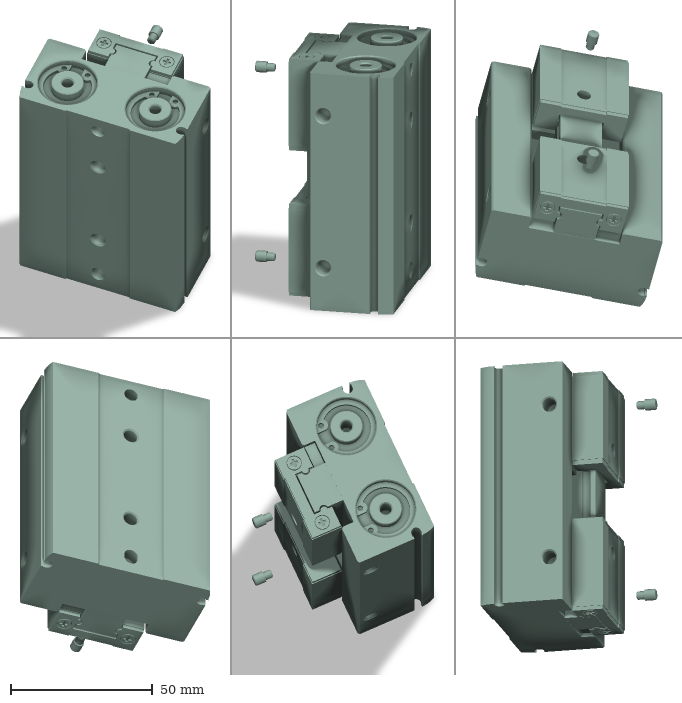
import cadquery as cq
import math

LENGTH = 87.6

HOUSING_HALF_WIDTH = 31.0
HOUSING_DEPTH = 30.05
CORNER_CHAMFER = 0.6
FRONT_CORNER_X = 29.6
FRONT_BEVEL_X = 30.05
FRONT_BEVEL = 1.0
SKIRT_HALF_WIDTH = 30.8
SKIRT_TOP = 4.9
SKIRT_MID = (30.6, 2.6)
FRONT_RECESS_HALF_WIDTH = 12.35
FRONT_RECESS_DEPTH = 0.4

GROOVE_DIAMETER = 3.5
GROOVE_CENTRE_X = 29.1
GROOVE_CENTRE_Y = 6.75
GROOVE_MOUTH = 3.0
GROOVE_LIP = 0.9

SLOT_HALF_WIDTH = 16.5
SLOT_FLOOR = 25.2

BORE_X = 16.7
BORE_Y = 13.0
BORE_DIAMETER = 21.0
BORE_CHAMFER = 0.35
BORE_FLOOR_DEPTH = 3.5
ROD_DIAMETER = 11.5
ROD_CHAMFER = 0.3
ROD_THREAD_DIAMETER = 4.1
ROD_THREAD_MOUTH = 5.0
ROD_THREAD_DEPTH = 8.8

RING_INNER_DIAMETER = 17.35
RING_TOP_DEPTH = 2.3
RING_LUG_X = 4.5
RING_LUG_Y = 7.45
RING_LUG_RADIUS = 2.2
RING_EYE_Y = 7.8
RING_EYE_DIAMETER = 2.0
RING_GAP_HALF_WIDTH = 2.45

SCREW_DIAMETER = 5.0
SCREW_MOUTH = 6.05
FRONT_SCREW_Z = (24.8, 62.8)
SIDE_SCREW_Z = (15.8, 72.0)
SIDE_SCREW_Y = 25.1
SIDE_SCREW_DEPTH = 8.8
DOWEL_DIAMETER = 5.0
DOWEL_Z = 81.4
DOWEL_SLOT_Z = 7.2
DOWEL_SLOT_LENGTH = 6.05
DOWEL_DEPTH = 5.25

RAIL_END_SETBACK = 0.1
RAIL_HALF_WIDTH = 7.5
RAIL_TOP = 36.3
TRACK_Y = 32.85
TRACK_CENTRE_X = 7.8
TRACK_RADIUS = 1.6

BLOCK_HALF_WIDTH = 16.1
BLOCK_TOP = 41.2
BLOCK_BOTTOM = 29.7
BLOCK_RECESS_HALF_WIDTH = 8.2
BLOCK_RECESS_DEPTH = 0.35
PLATE_INSET = 0.3
CAVITY_HALF_WIDTH = 7.9
CAVITY_TOP = 36.6
BEAD_CENTRE_X = 8.1
BEAD_RADIUS = 1.5
CARRIAGE_LENGTH = 33.9
OUTER_PLATE = 1.3
INNER_PLATE = 1.7
HEAD_X = 12.0
HEAD_Y = 35.4
HEAD_DIAMETER = 4.9
HEAD_POCKET_DIAMETER = 5.4
HEAD_POCKET_DEPTH = 0.9
CROSS_LENGTH = 3.0
CROSS_WIDTH = 1.0
CROSS_DEPTH = 0.7

BAR_CLEARANCE = 0.31
BAR_LENGTH = CARRIAGE_LENGTH
BAR_END_GAP = OUTER_PLATE

PIN_Z = (8.8, 78.8)
PIN_TOP = 56.5
PIN_HEAD_BOTTOM = 52.6
PIN_BOTTOM = 49.6
PIN_HEAD_DIAMETER = 4.0
PIN_SHANK_DIAMETER = 3.0
PIN_CHAMFER = 0.35

DRILL_POINT_ANGLE = 118.0


def box(x0, x1, y0, y1, z0, z1):
    return cq.Workplane("XY").box(x1 - x0, y1 - y0, z1 - z0, centered=False).translate((x0, y0, z0))


def cylinder(diameter, start, direction, length):
    return cq.Workplane(cq.Solid.makeCylinder(diameter / 2, length, cq.Vector(*start), cq.Vector(*direction)))


def drilled_hole(diameter, mouth, depth, start, direction):
    """Blind hole with a chamfered mouth and a drill point."""
    radius = diameter / 2
    mouth_radius = mouth / 2
    lead = mouth_radius - radius
    point = radius / math.tan(math.radians(DRILL_POINT_ANGLE / 2))
    profile = (
        cq.Workplane("XZ")
        .polyline([(0, 0), (mouth_radius, 0), (radius, lead), (radius, depth), (0, depth + point)])
        .close()
        .revolve(360, (0, 0, 0), (0, 1, 0))
    )
    plane = cq.Plane(origin=start, normal=direction)
    return cq.Workplane(profile.val().moved(cq.Location(plane)))


def both_sides(shape):
    return shape.union(shape.mirror("YZ"))


def turned_about_y(shape):
    """Half turn about the Y direction through mid-length."""
    return shape.rotate((0, 0, LENGTH / 2), (0, 1, LENGTH / 2), 180)


def through_hole(z):
    """Screw clearance running through housing, rail and carriage alike."""
    return cylinder(SCREW_DIAMETER, (0, 0, z), (0, 1, 0), BLOCK_TOP)


def make_rail():
    z0 = RAIL_END_SETBACK
    z1 = LENGTH - RAIL_END_SETBACK
    rail = box(-RAIL_HALF_WIDTH, RAIL_HALF_WIDTH, SLOT_FLOOR, RAIL_TOP, z0, z1)
    rail = rail.cut(both_sides(cylinder(2 * TRACK_RADIUS, (TRACK_CENTRE_X, TRACK_Y, 0), (0, 0, 1), LENGTH)))
    for z in FRONT_SCREW_Z:
        rail = rail.cut(through_hole(z))
    return rail


def housing_blank():
    half = (
        cq.Workplane("XY")
        .moveTo(0, FRONT_RECESS_DEPTH)
        .lineTo(FRONT_RECESS_HALF_WIDTH - FRONT_RECESS_DEPTH, FRONT_RECESS_DEPTH)
        .lineTo(FRONT_RECESS_HALF_WIDTH, 0)
        .lineTo(FRONT_CORNER_X, 0)
        .lineTo(FRONT_BEVEL_X, FRONT_BEVEL)
        .threePointArc(SKIRT_MID, (SKIRT_HALF_WIDTH, SKIRT_TOP))
        .lineTo(HOUSING_HALF_WIDTH, SKIRT_TOP + HOUSING_HALF_WIDTH - SKIRT_HALF_WIDTH)
        .lineTo(HOUSING_HALF_WIDTH, HOUSING_DEPTH - CORNER_CHAMFER)
        .lineTo(HOUSING_HALF_WIDTH - CORNER_CHAMFER, HOUSING_DEPTH)
        .lineTo(SLOT_HALF_WIDTH + CORNER_CHAMFER, HOUSING_DEPTH)
        .lineTo(SLOT_HALF_WIDTH, HOUSING_DEPTH - CORNER_CHAMFER)
        .lineTo(SLOT_HALF_WIDTH, SLOT_FLOOR)
        .lineTo(0, SLOT_FLOOR)
        .close()
        .extrude(LENGTH)
    )
    return both_sides(half)


def sensor_groove():
    inner = HOUSING_HALF_WIDTH - GROOVE_LIP
    r = GROOVE_DIAMETER / 2
    half_mouth = GROOVE_MOUTH / 2
    y = GROOVE_CENTRE_Y
    groove = cylinder(GROOVE_DIAMETER, (GROOVE_CENTRE_X, y, 0), (0, 0, 1), LENGTH)
    groove = groove.union(box(GROOVE_CENTRE_X, inner, y - r, y + r, 0, LENGTH))
    mouth = box(GROOVE_CENTRE_X, HOUSING_HALF_WIDTH, y - half_mouth, y + half_mouth, 0, LENGTH)
    return groove.union(mouth)


def bore_recess():
    """Open end of a bore, around the rod and above the ring and the cylinder cover."""
    recess = cylinder(BORE_DIAMETER, (0, 0, LENGTH - BORE_FLOOR_DEPTH), (0, 0, 1), BORE_FLOOR_DEPTH)
    mouth = cq.Workplane(
        cq.Solid.makeCone(
            BORE_DIAMETER / 2, BORE_DIAMETER / 2 + BORE_CHAMFER, BORE_CHAMFER,
            cq.Vector(0, 0, LENGTH - BORE_CHAMFER),
        )
    )
    rod = cylinder(ROD_DIAMETER, (0, 0, 0), (0, 0, 1), LENGTH).faces(">Z").chamfer(ROD_CHAMFER)
    return recess.union(mouth).cut(rod).cut(retaining_ring())


def retaining_ring():
    floor = LENGTH - BORE_FLOOR_DEPTH
    thickness = BORE_FLOOR_DEPTH - RING_TOP_DEPTH
    ring = cq.Workplane("XY").circle(BORE_DIAMETER / 2).circle(RING_INNER_DIAMETER / 2).extrude(thickness)
    for side in (-1, 1):
        lug_start = (side * RING_LUG_X, RING_LUG_Y, 0)
        lug = cylinder(2 * RING_LUG_RADIUS, lug_start, (0, 0, 1), thickness)
        ring = ring.union(lug)
    ring = ring.intersect(cylinder(BORE_DIAMETER, (0, 0, 0), (0, 0, 1), thickness))
    ring = ring.cut(box(-RING_GAP_HALF_WIDTH, RING_GAP_HALF_WIDTH, 0, BORE_DIAMETER, 0, thickness))
    for side in (-1, 1):
        ring = ring.cut(cylinder(RING_EYE_DIAMETER, (side * RING_LUG_X, RING_EYE_Y, 0), (0, 0, 1), thickness))
    return ring.translate((0, 0, floor))


def through_hole_mouth(z):
    radius = SCREW_DIAMETER / 2
    mouth_radius = SCREW_MOUTH / 2
    start = cq.Vector(0, FRONT_RECESS_DEPTH, z)
    depth = mouth_radius - radius
    return cq.Workplane(cq.Solid.makeCone(mouth_radius, radius, depth, start, cq.Vector(0, 1, 0)))


def make_housing():
    housing = housing_blank().cut(both_sides(sensor_groove()))
    for side in (-1, 1):
        x = side * BORE_X
        housing = housing.cut(bore_recess().translate((x, BORE_Y, 0)))
        housing = housing.cut(
            drilled_hole(
                ROD_THREAD_DIAMETER, ROD_THREAD_MOUTH, ROD_THREAD_DEPTH, (x, BORE_Y, LENGTH), (0, 0, -1)
            )
        )
        for z in SIDE_SCREW_Z:
            start = (side * HOUSING_HALF_WIDTH, SIDE_SCREW_Y, z)
            housing = housing.cut(
                drilled_hole(SCREW_DIAMETER, SCREW_MOUTH, SIDE_SCREW_DEPTH, start, (-side, 0, 0))
            )
    for z in FRONT_SCREW_Z:
        housing = housing.cut(through_hole(z)).cut(through_hole_mouth(z))
    housing = housing.cut(cylinder(DOWEL_DIAMETER, (0, 0, DOWEL_Z), (0, 1, 0), DOWEL_DEPTH))
    slot = (
        cq.Workplane("XZ").center(0, DOWEL_SLOT_Z)
        .slot2D(DOWEL_SLOT_LENGTH, DOWEL_DIAMETER, 90).extrude(-DOWEL_DEPTH)
    )
    return housing.cut(slot).union(make_rail())


def carriage_section(inset, z0, z1):
    """A slice of the carriage, its whole outline drawn in by the given inset."""
    w = BLOCK_HALF_WIDTH - inset
    top = BLOCK_TOP - inset
    bottom = BLOCK_BOTTOM + inset
    section = box(-w, w, bottom, top, z0, z1)
    section = section.cut(
        box(-BLOCK_RECESS_HALF_WIDTH, BLOCK_RECESS_HALF_WIDTH, top - BLOCK_RECESS_DEPTH, top, z0, z1)
    )
    cavity = CAVITY_HALF_WIDTH + inset
    section = section.cut(box(-cavity, cavity, bottom, CAVITY_TOP + inset, z0, z1))
    bead = cylinder(2 * (BEAD_RADIUS - inset), (BEAD_CENTRE_X, TRACK_Y, z0), (0, 0, 1), z1 - z0)
    return section.union(both_sides(bead))


def screw_head_recess():
    z = LENGTH - HEAD_POCKET_DEPTH
    groove = (
        cq.Workplane("XY").circle(HEAD_POCKET_DIAMETER / 2).circle(HEAD_DIAMETER / 2)
        .extrude(HEAD_POCKET_DEPTH).translate((0, 0, z))
    )
    cross = (
        cq.Workplane("XY").rect(CROSS_LENGTH, CROSS_WIDTH).extrude(CROSS_DEPTH)
        .union(cq.Workplane("XY").rect(CROSS_WIDTH, CROSS_LENGTH).extrude(CROSS_DEPTH))
        .translate((0, 0, LENGTH - CROSS_DEPTH))
    )
    return groove.union(cross).translate((HEAD_X, HEAD_Y, 0))


def make_carriage():
    """Upper carriage; the lower one is the same carriage turned end for end."""
    bottom = LENGTH - CARRIAGE_LENGTH
    block_bottom = bottom + INNER_PLATE
    block_top = LENGTH - OUTER_PLATE
    carriage = carriage_section(0, block_bottom, block_top)
    carriage = carriage.union(carriage_section(PLATE_INSET, bottom, block_bottom))
    carriage = carriage.union(carriage_section(PLATE_INSET, block_top, LENGTH))
    carriage = carriage.cut(both_sides(screw_head_recess()))
    return carriage.cut(through_hole(FRONT_SCREW_Z[1]))


def make_bar():
    """Upper bar, on the +X side of the rail; the lower one lies diagonally opposite."""
    z1 = LENGTH - BAR_END_GAP
    return box(
        RAIL_HALF_WIDTH + BAR_CLEARANCE, SLOT_HALF_WIDTH - BAR_CLEARANCE,
        SLOT_FLOOR + BAR_CLEARANCE, BLOCK_BOTTOM - BAR_CLEARANCE,
        z1 - BAR_LENGTH, z1,
    )


def make_pin(z):
    shank = PIN_HEAD_BOTTOM - PIN_BOTTOM
    pin = cylinder(PIN_SHANK_DIAMETER, (0, PIN_BOTTOM, z), (0, 1, 0), shank).faces("<Y").chamfer(PIN_CHAMFER)
    head = cylinder(PIN_HEAD_DIAMETER, (0, PIN_HEAD_BOTTOM, z), (0, 1, 0), PIN_TOP - PIN_HEAD_BOTTOM)
    return pin.union(head.faces(">Y").chamfer(PIN_CHAMFER))


housing = make_housing()
bodies = [housing.val()]

upper_carriage = make_carriage()
upper_bar = make_bar()
for upper in (upper_carriage, upper_bar):
    bodies.append(upper.val())
    bodies.append(turned_about_y(upper).val())

for z in PIN_Z:
    bodies.append(make_pin(z).val())

result = cq.Compound.makeCompound(bodies)